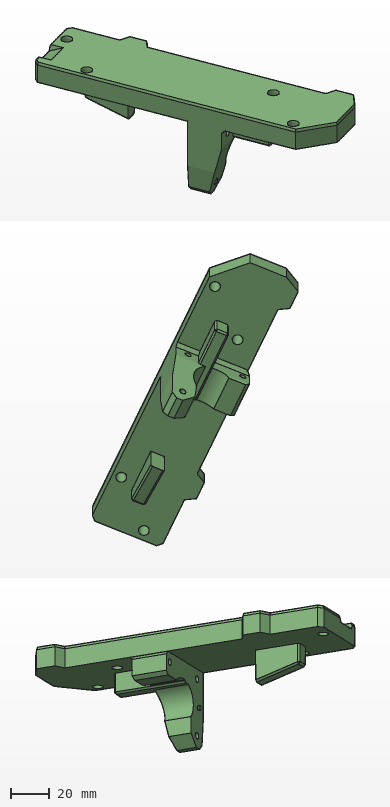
import cadquery as cq
import math

LENGTH = 168.5
BODY_WIDTH = 40.1
TOTAL_WIDTH = 45.5
THICKNESS = 12.0
TOTAL_HEIGHT = 55.0
END_CHAMFER = 2.5
NOSE_CHAMFER = 16.0
TOP_BEVEL_HEIGHT = 1.5
TOP_BEVEL_INSET = 0.5

TAB_FLANK_ANGLE = math.radians(30)
TAB_START = 30.0
TAB_TOP = 10.1
NOSE_TAB_START = 149.7
NOSE_TAB_TOP = 10.6

PLATE_HOLE_DIAMETER = 5.5
PLATE_HOLE_MOUTH = 6.0
PLATE_HOLE_BEVEL_HEIGHT = 1.0
PLATE_HOLE_PITCH = 120.0
REAR_HOLE = (5.4, 28.0)
FRONT_HOLE = (28.7, 4.9)

NOTCH_LENGTH = 7.8
NOTCH_DEPTH = 3.5
NOTCH_START = 5.4
NOTCH_WIDTH = 14.0
NOTCH_SIDE_INSET = 1.0

WALL_START = 89.7
WALL_THICKNESS = 19.9
WALL_WIDTH = 41.8
WALL_FLARE = 2.0
WALL_STRAIGHT_DEPTH = 11.3
WALL_TAPER = math.radians(15)
ARM_DEPTH = 13.0
ARM_CORNER = 2.0
LEG_WIDTH = 13.8
LEG_LEAN_START = 26.8
LEG_LEAN = 1.3
LEG_FRONT_CHAMFER = 2.9
LEG_BACK_CHAMFER = 6.0

MOTOR_Y = 22.4
MOTOR_DEPTH = 20.9
BORE_RADIUS = 11.1
SCREW_SPACING = 31.0
SCREW_DIAMETER = 3.4
PIN_Y = 5.5
PIN_DIAMETER = 2.5
PIN_PROJECTION = 1.0

LUG_Y = 12.8
LUG_WIDTH = 7.8
LUG_CHAMFER = 1.0
SLOPED_LUG_END_DEPTH = 10.8
SLOPED_LUG_START = 23.1
SLOPED_LUG_LENGTH = 25.5
SLOPED_LUG_DEPTH = 17.2
STRAIGHT_LUG_END = 131.3
STRAIGHT_LUG_DEPTH = 11.3


def plate_outline():
    tab_height = TOTAL_WIDTH - BODY_WIDTH
    flank = tab_height * math.tan(TAB_FLANK_ANGLE)
    nose_top_end = NOSE_TAB_START + flank + NOSE_TAB_TOP
    nose_flank_y = TOTAL_WIDTH - (LENGTH - nose_top_end) / math.tan(TAB_FLANK_ANGLE)
    return [
        (END_CHAMFER, 0),
        (LENGTH - NOSE_CHAMFER, 0),
        (LENGTH, NOSE_CHAMFER),
        (LENGTH, nose_flank_y),
        (nose_top_end, TOTAL_WIDTH),
        (NOSE_TAB_START + flank, TOTAL_WIDTH),
        (NOSE_TAB_START, BODY_WIDTH),
        (TAB_START + 2 * flank + TAB_TOP, BODY_WIDTH),
        (TAB_START + flank + TAB_TOP, TOTAL_WIDTH),
        (TAB_START + flank, TOTAL_WIDTH),
        (TAB_START, BODY_WIDTH),
        (END_CHAMFER, BODY_WIDTH),
        (0, BODY_WIDTH - END_CHAMFER),
        (0, END_CHAMFER),
    ]


def plate():
    """Plate with a steep bevel around its top face."""
    straight_height = THICKNESS - TOP_BEVEL_HEIGHT
    bevel_angle = math.degrees(math.atan2(TOP_BEVEL_INSET, TOP_BEVEL_HEIGHT))
    outline = plate_outline()
    lower = cq.Workplane("XY").polyline(outline).close().extrude(straight_height)
    bevel = (
        cq.Workplane("XY", origin=(0, 0, straight_height))
        .polyline(outline)
        .close()
        .extrude(TOP_BEVEL_HEIGHT, taper=bevel_angle)
    )
    return lower.union(bevel)


def plate_holes():
    """Through holes with a slightly bevelled mouth in the top face."""
    points = []
    for x, y in (REAR_HOLE, FRONT_HOLE):
        points += [(x, y), (x + PLATE_HOLE_PITCH, y)]
    bevel_inset = (PLATE_HOLE_MOUTH - PLATE_HOLE_DIAMETER) / 2
    bevel_angle = math.degrees(math.atan2(bevel_inset, PLATE_HOLE_BEVEL_HEIGHT))
    bores = cq.Workplane("XY").pushPoints(points).circle(PLATE_HOLE_DIAMETER / 2).extrude(THICKNESS)
    mouths = (
        cq.Workplane("XY", origin=(0, 0, THICKNESS))
        .pushPoints(points)
        .circle(PLATE_HOLE_MOUTH / 2)
        .extrude(-PLATE_HOLE_BEVEL_HEIGHT, taper=bevel_angle)
    )
    return bores.union(mouths)


def notch():
    """Ramp that is deepest at the -X end, between two leaning side walls."""
    floor_z = THICKNESS - NOTCH_DEPTH
    notch_end = NOTCH_START + NOTCH_WIDTH
    trough = (
        cq.Workplane("YZ")
        .polyline([
            (NOTCH_START, THICKNESS),
            (notch_end, THICKNESS),
            (notch_end - NOTCH_SIDE_INSET, floor_z),
            (NOTCH_START + NOTCH_SIDE_INSET, floor_z),
        ])
        .close()
        .extrude(NOTCH_LENGTH)
    )
    ramp = (
        cq.Workplane("XZ")
        .polyline([(0, THICKNESS), (NOTCH_LENGTH, THICKNESS), (0, floor_z)])
        .close()
        .extrude(-TOTAL_WIDTH)
    )
    return trough.intersect(ramp)


def motor_wall():
    """L-shaped wall, narrowed downwards along its +X side."""
    leg_bottom = THICKNESS - TOTAL_HEIGHT
    wall_end = WALL_START + WALL_THICKNESS
    taper_run = (-leg_bottom - WALL_STRAIGHT_DEPTH) * math.tan(WALL_TAPER)
    lean_end = leg_bottom + LEG_FRONT_CHAMFER
    face = (
        cq.Workplane("YZ", origin=(WALL_START, 0, 0))
        .polyline([
            (0, 0),
            (0, -LEG_LEAN_START),
            (LEG_LEAN, lean_end),
            (LEG_LEAN + LEG_FRONT_CHAMFER, leg_bottom),
            (LEG_WIDTH - LEG_BACK_CHAMFER, leg_bottom),
            (LEG_WIDTH, leg_bottom + LEG_BACK_CHAMFER),
            (LEG_WIDTH, -MOTOR_DEPTH),
            (MOTOR_Y, -MOTOR_DEPTH),
            (MOTOR_Y, -ARM_DEPTH),
            (WALL_WIDTH - ARM_CORNER, -ARM_DEPTH),
            (WALL_WIDTH, -ARM_DEPTH + ARM_CORNER),
            (WALL_WIDTH, -WALL_FLARE),
            (WALL_WIDTH - WALL_FLARE, 0),
        ])
        .close()
        .extrude(WALL_THICKNESS + WALL_FLARE)
    )
    side = (
        cq.Workplane("XZ")
        .polyline([
            (WALL_START, 0),
            (wall_end + WALL_FLARE, 0),
            (wall_end, -WALL_FLARE),
            (wall_end, -WALL_STRAIGHT_DEPTH),
            (wall_end - taper_run, leg_bottom),
            (WALL_START, leg_bottom),
        ])
        .close()
        .extrude(-WALL_WIDTH)
    )
    return face.intersect(side)


def motor_openings():
    """Clearance bore and three screw holes; the fourth corner of the square has no wall."""
    half = SCREW_SPACING / 2
    motor_plane = cq.Workplane("YZ", origin=(WALL_START, MOTOR_Y, -MOTOR_DEPTH))
    depth = WALL_THICKNESS + WALL_FLARE
    bore = motor_plane.circle(BORE_RADIUS).extrude(depth)
    screws = (
        motor_plane.pushPoints([(half, half), (-half, half), (-half, -half)])
        .circle(SCREW_DIAMETER / 2)
        .extrude(depth)
    )
    return bore.union(screws)


def pin():
    """Locating pin on the -X face of the wall."""
    return (
        cq.Workplane("YZ", origin=(WALL_START, PIN_Y, -MOTOR_DEPTH))
        .circle(PIN_DIAMETER / 2)
        .extrude(-PIN_PROJECTION)
    )


def sloped_lug():
    """Lug that deepens towards its plain +X end; the other free edges are chamfered."""
    end = SLOPED_LUG_START + SLOPED_LUG_LENGTH
    block = (
        cq.Workplane("XZ", origin=(0, LUG_Y, 0))
        .polyline([
            (SLOPED_LUG_START, 0),
            (end, 0),
            (end, -SLOPED_LUG_DEPTH),
            (SLOPED_LUG_START, -SLOPED_LUG_END_DEPTH),
        ])
        .close()
        .extrude(-LUG_WIDTH)
    )
    return block.edges("not(>Z or >X)").chamfer(LUG_CHAMFER)


def straight_lug():
    """Lug running out of the motor wall towards +X, with chamfered free edges."""
    block = cq.Workplane("XY").box(
        STRAIGHT_LUG_END - WALL_START, LUG_WIDTH, STRAIGHT_LUG_DEPTH, centered=False
    )
    block = block.translate((WALL_START, LUG_Y, -STRAIGHT_LUG_DEPTH))
    return block.edges("not(>Z or <X)").chamfer(LUG_CHAMFER)


wall = motor_wall().cut(motor_openings()).union(pin())
result = (
    plate()
    .cut(plate_holes())
    .cut(notch())
    .union(wall)
    .union(sloped_lug())
    .union(straight_lug())
)